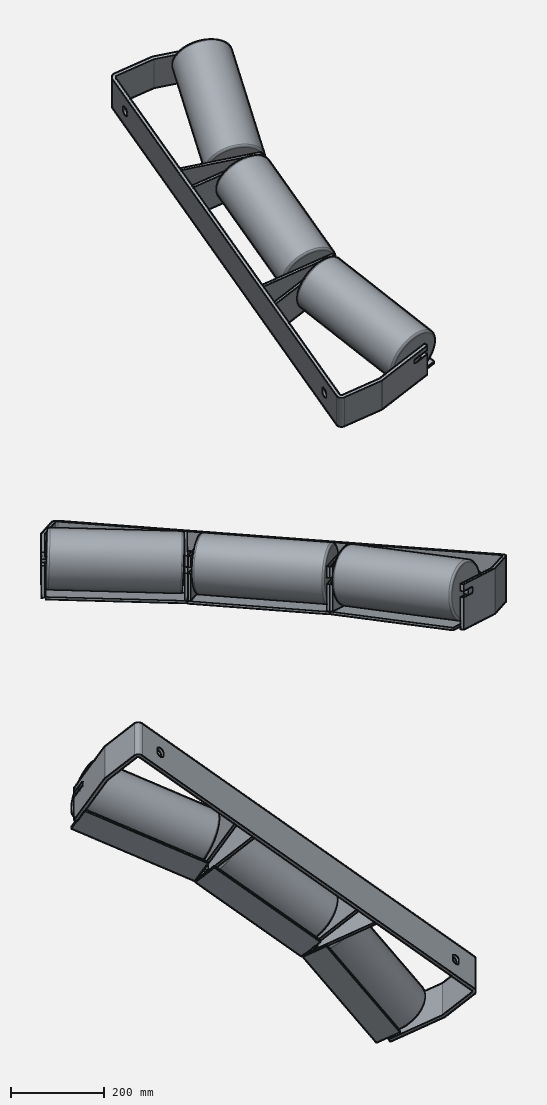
import cadquery as cq
import math

FRAME_LENGTH = 1000.0
FRAME_HEIGHT = 101.6
FRAME_THICKNESS = 8.0
CORNER_RADIUS = 12.0
LEAN_RADIUS = 12.0
LEAN_START_Y = 104.0
FRAME_BACK_Y = 235.0
MOUNT_HOLE_X = 434.0
MOUNT_HOLE_WIDTH = 18.0
MOUNT_HOLE_HEIGHT = 26.0

TROUGH_ANGLE = 15.0
TILT_ANGLE = 1.76
ROLLER_DIAMETER = 133.0
ROLLER_LENGTH = 292.0
ROLLER_FILLET = 5.0
SHAFT_DIAMETER = 20.0
SHAFT_FLATS = 14.0
SLOT_RUN = 80.0
SLOT_OVERRUN = 2.0
CENTRE_AXIS_Y = 125.75
AXIS_Z = 69.5

BRACKET_THICKNESS = 6.0
BRACKET_BACK_Y = 181.0
STRAIGHT_FACE_X = 156.0
LEANING_FOOT_X = 203.0
WEB_FRONT_Y = 145.0

PLATE_THICKNESS = 6.0
PLATE_WIDTH = 59.0
PLATE_END_GAP = 3.0
PLATE_GAP = 1.0

LEAN = math.tan(math.radians(TROUGH_ANGLE))
LEAN_COS = math.cos(math.radians(TROUGH_ANGLE))
SLANT_THICKNESS_X = BRACKET_THICKNESS / LEAN_COS
FRAME_HALF = FRAME_LENGTH / 2


def leaning_face_x(y):
    """X of the -X leaning bracket plate's face that is turned away from its roller."""
    return -LEANING_FOOT_X + (y - FRAME_THICKNESS) * LEAN


def mirrored(body):
    return body.mirror("YZ")


WING_SHELL_SHIFT = (FRAME_THICKNESS - BRACKET_THICKNESS) / 2

WING_INNER_Y = CENTRE_AXIS_Y
WING_INNER_X = leaning_face_x(WING_INNER_Y)
FRAME_FACE_GAP = WING_INNER_X - (-FRAME_HALF + (WING_INNER_Y - LEAN_START_Y) * LEAN)
WING_SHAFT_LENGTH = FRAME_FACE_GAP * LEAN_COS
CENTRE_SHAFT_LENGTH = 2 * STRAIGHT_FACE_X


def place_centre(body):
    return body.translate((0, CENTRE_AXIS_Y, AXIS_Z))


def place_wing(body):
    """Carry a body from along the X axis, centred on the origin, to the -X wing axis."""
    moved = body.translate((-WING_SHAFT_LENGTH / 2, 0, 0))
    moved = moved.rotate((0, 0, 0), (0, 1, 0), TILT_ANGLE)
    moved = moved.rotate((0, 0, 0), (0, 0, 1), -TROUGH_ANGLE)
    return moved.translate((WING_INNER_X, WING_INNER_Y, AXIS_Z))


def make_cylinder(diameter, length, middle_x=0):
    """Cylinder along the X axis."""
    start_x = middle_x - length / 2
    return cq.Workplane("YZ", origin=(start_x, 0, 0)).circle(diameter / 2).extrude(length)


def make_flattened_shaft(length):
    flats = cq.Workplane("XY").box(length, SHAFT_DIAMETER, SHAFT_FLATS)
    return make_cylinder(SHAFT_DIAMETER, length).intersect(flats)


def make_roller(shaft_length, shell_middle_x=0):
    """Roller with its shaft, along X; the shaft is centred on the origin."""
    shell = make_cylinder(ROLLER_DIAMETER, ROLLER_LENGTH, shell_middle_x)
    shell = shell.edges("%CIRCLE").fillet(ROLLER_FILLET)
    return shell.union(make_flattened_shaft(shaft_length))


def make_slot_cutter(shaft_length):
    """Slots, open towards +Y, that take the flats of a shaft."""
    reach = shaft_length + 2 * SLOT_OVERRUN
    opening = cq.Workplane("XY").box(reach, SLOT_RUN, SHAFT_FLATS, centered=(True, False, True))
    return make_flattened_shaft(reach).union(opening)


def make_plate(start_x, end_x):
    """Flat plate below a roller, from below its axis towards +Y."""
    top = -ROLLER_DIAMETER / 2 - PLATE_GAP
    return (
        cq.Workplane("XY")
        .box(end_x - start_x, PLATE_WIDTH, PLATE_THICKNESS, centered=False)
        .translate((start_x, 0, top - PLATE_THICKNESS))
    )


def make_frame():
    """Bent strip, shelled out of a block that has the outline of its outside."""
    end_rise = FRAME_BACK_Y - LEAN_START_Y
    end_x = FRAME_HALF - end_rise * LEAN
    valley_y = FRAME_BACK_Y - end_x * LEAN
    block = (
        cq.Workplane("XY")
        .moveTo(-end_x, FRAME_BACK_Y)
        .lineTo(-FRAME_HALF, LEAN_START_Y)
        .lineTo(-FRAME_HALF, 0)
        .lineTo(FRAME_HALF, 0)
        .lineTo(FRAME_HALF, LEAN_START_Y)
        .lineTo(end_x, FRAME_BACK_Y)
        .lineTo(0, valley_y)
        .close()
        .extrude(FRAME_HEIGHT)
    )
    block = block.edges("|Z and <Y").fillet(CORNER_RADIUS)
    block = block.edges("|Z and (<X or >X)").edges(">Y").fillet(LEAN_RADIUS)
    open_faces = block.faces("|Z")
    for side in (-1, 1):
        square_end = cq.selectors.NearestToPointSelector((side * end_x / 2, FRAME_BACK_Y, FRAME_HEIGHT / 2))
        open_faces = open_faces.add(block.faces(square_end))
    strip = open_faces.shell(-FRAME_THICKNESS)
    mount_holes = (
        cq.Workplane("XZ")
        .pushPoints([(-MOUNT_HOLE_X, FRAME_HEIGHT / 2), (MOUNT_HOLE_X, FRAME_HEIGHT / 2)])
        .slot2D(MOUNT_HOLE_HEIGHT, MOUNT_HOLE_WIDTH, 90)
        .extrude(-FRAME_THICKNESS)
    )
    return strip.cut(mount_holes)


def make_bracket(leaning_slot, straight_slot):
    """-X bracket: a slotted leaning plate and a slotted straight plate joined by a web."""
    foot_x = leaning_face_x(FRAME_THICKNESS)
    top_x = leaning_face_x(BRACKET_BACK_Y)
    leaning_plate = (
        cq.Workplane("XY")
        .moveTo(foot_x, FRAME_THICKNESS)
        .lineTo(top_x, BRACKET_BACK_Y)
        .lineTo(top_x - SLANT_THICKNESS_X, BRACKET_BACK_Y)
        .lineTo(foot_x - SLANT_THICKNESS_X, FRAME_THICKNESS)
        .close()
        .extrude(FRAME_HEIGHT)
    )
    straight_plate = (
        cq.Workplane("XY")
        .moveTo(-STRAIGHT_FACE_X, FRAME_THICKNESS)
        .lineTo(-STRAIGHT_FACE_X, BRACKET_BACK_Y)
        .lineTo(BRACKET_THICKNESS - STRAIGHT_FACE_X, BRACKET_BACK_Y)
        .lineTo(BRACKET_THICKNESS - STRAIGHT_FACE_X, FRAME_THICKNESS)
        .close()
        .extrude(FRAME_HEIGHT)
    )
    web_back_y = WEB_FRONT_Y + BRACKET_THICKNESS
    web = (
        cq.Workplane("XY")
        .moveTo(leaning_face_x(WEB_FRONT_Y), WEB_FRONT_Y)
        .lineTo(-STRAIGHT_FACE_X, WEB_FRONT_Y)
        .lineTo(-STRAIGHT_FACE_X, web_back_y)
        .lineTo(leaning_face_x(web_back_y), web_back_y)
        .close()
        .extrude(FRAME_HEIGHT)
    )
    return leaning_plate.cut(leaning_slot).union(straight_plate.cut(straight_slot)).union(web)


wing_roller = place_wing(make_roller(WING_SHAFT_LENGTH, WING_SHELL_SHIFT))
wing_plate_start = FRAME_THICKNESS + PLATE_END_GAP - WING_SHAFT_LENGTH / 2
wing_plate = place_wing(make_plate(wing_plate_start, WING_SHAFT_LENGTH / 2))
wing_slots = place_wing(make_slot_cutter(WING_SHAFT_LENGTH))

centre_roller = place_centre(make_roller(CENTRE_SHAFT_LENGTH))
centre_plate = place_centre(make_plate(-STRAIGHT_FACE_X, STRAIGHT_FACE_X))
centre_slots = place_centre(make_slot_cutter(CENTRE_SHAFT_LENGTH))

frame = make_frame().cut(wing_slots).cut(mirrored(wing_slots))

bracket = make_bracket(wing_slots, centre_slots).cut(wing_plate).cut(centre_plate)

bodies = [frame, centre_roller, centre_plate]
for wing_body in (wing_roller, wing_plate, bracket):
    bodies += [wing_body, mirrored(wing_body)]
result = cq.Compound.makeCompound([body.val() for body in bodies])